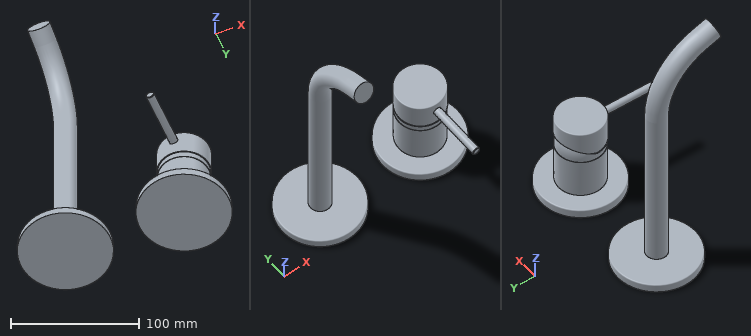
import cadquery as cq
import math

TOTAL_HEIGHT = 233.9
MIXER_X = 99.9

FLANGE_DIAMETER = 75.0
FLANGE_TOP = 8.0
MIXER_FLANGE_BOTTOM = 0.0
SPOUT_FLANGE_BOTTOM = 0.5
FLANGE_FILLET = 1.2

SPOUT_DIAMETER = 19.0
SPOUT_RADIUS = SPOUT_DIAMETER / 2
BEND_RADIUS = 63.1
BEND_ANGLE = math.radians(70)
NOZZLE_LENGTH = 14.0

BODY_DIAMETER = 42.0
BODY_TOP = 45.0
BALL_RADIUS = BODY_DIAMETER / 2
BALL_CENTER_Z = 48.2

CAP_DIAMETER = 43.0
CAP_BOTTOM = 51.2
CAP_TOP = 76.0
CAP_FILLET = 1.0
RELIEF_ANGLE = 22.5

LEVER_DIAMETER = 7.0
LEVER_Z = 66.7
LEVER_REACH = 70.2
LEVER_SOCKET_DEPTH = 4.7
LEVER_CHAMFER = 0.5
LEVER_START = CAP_DIAMETER / 2 - LEVER_SOCKET_DEPTH


def make_flange(x, bottom):
    """Round base plate with a rounded upper rim."""
    plate = (
        cq.Workplane("XY", origin=(x, 0, bottom))
        .circle(FLANGE_DIAMETER / 2)
        .extrude(FLANGE_TOP - bottom)
    )
    return plate.faces(">Z").edges().fillet(FLANGE_FILLET)


def make_spout():
    """Round bar that rises straight, bends toward -Y and ends in a short straight nozzle."""
    forward = math.sin(BEND_ANGLE)
    upward = math.cos(BEND_ANGLE)
    bend_start_z = TOTAL_HEIGHT - (BEND_RADIUS + SPOUT_RADIUS) * forward - NOZZLE_LENGTH * upward

    def bend_point(angle):
        return (-BEND_RADIUS * (1 - math.cos(angle)), bend_start_z + BEND_RADIUS * math.sin(angle))

    bend_end_y, bend_end_z = bend_point(BEND_ANGLE)
    path = (
        cq.Workplane("YZ")
        .moveTo(0, FLANGE_TOP)
        .lineTo(0, bend_start_z)
        .threePointArc(bend_point(BEND_ANGLE / 2), (bend_end_y, bend_end_z))
        .lineTo(bend_end_y - NOZZLE_LENGTH * forward, bend_end_z + NOZZLE_LENGTH * upward)
    )
    return cq.Workplane("XY").workplane(offset=FLANGE_TOP).circle(SPOUT_RADIUS).sweep(path)


def make_ball():
    """Ball on the mixer axis, cut flat where it meets the body cylinder."""
    ball = cq.Workplane("XY").sphere(BALL_RADIUS).translate((MIXER_X, 0, BALL_CENTER_Z))
    upper_space = (
        cq.Workplane("XY")
        .box(2 * BODY_DIAMETER, 2 * BODY_DIAMETER, 2 * BODY_DIAMETER, centered=(True, True, False))
        .translate((MIXER_X, 0, BODY_TOP))
    )
    return ball.intersect(upper_space)


def make_body(ball):
    """Mixer cylinder standing on its flange and carrying the ball."""
    cylinder = (
        cq.Workplane("XY", origin=(MIXER_X, 0, FLANGE_TOP))
        .circle(BODY_DIAMETER / 2)
        .extrude(BODY_TOP - FLANGE_TOP)
    )
    return cylinder.union(ball)


def make_lever():
    """Round rod along -Y with a chamfered tip; its inner end sits in the cap."""
    rod = (
        cq.Workplane("XZ", origin=(MIXER_X, -LEVER_START, LEVER_Z))
        .circle(LEVER_DIAMETER / 2)
        .extrude(LEVER_REACH - LEVER_START)
    )
    return rod.faces("<Y").edges().chamfer(LEVER_CHAMFER)


def make_cap(ball, lever):
    """Cap with a ball recess, a lever socket and a slanted rear underside."""
    cap = (
        cq.Workplane("XY", origin=(MIXER_X, 0, CAP_BOTTOM))
        .circle(CAP_DIAMETER / 2)
        .extrude(CAP_TOP - CAP_BOTTOM)
        .faces(">Z")
        .edges()
        .fillet(CAP_FILLET)
    )
    relief_rise = CAP_DIAMETER * math.tan(math.radians(RELIEF_ANGLE))
    relief = (
        cq.Workplane("YZ", origin=(MIXER_X, 0, CAP_BOTTOM))
        .polyline([(0, 0), (CAP_DIAMETER, 0), (CAP_DIAMETER, relief_rise)])
        .close()
        .extrude(CAP_DIAMETER, both=True)
    )
    return cap.cut(relief).cut(ball).cut(lever)


flange_places = [(0, SPOUT_FLANGE_BOTTOM), (MIXER_X, MIXER_FLANGE_BOTTOM)]
flanges = [make_flange(x, bottom) for x, bottom in flange_places]
spout = make_spout()
ball_joint = make_ball()
body = make_body(ball_joint)
lever = make_lever()
cap = make_cap(ball_joint, lever)

result = cq.Compound.makeCompound(
    [*[flange.val() for flange in flanges], spout.val(), body.val(), cap.val(), lever.val()]
)